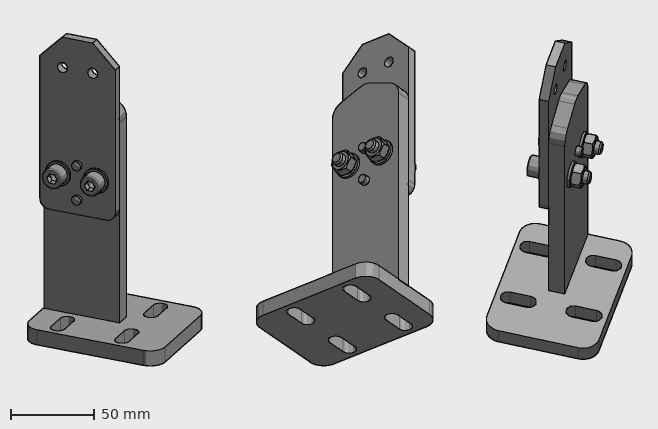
import cadquery as cq
import math

BASE_LENGTH = 90.0
BASE_WIDTH = 70.0
BASE_THICKNESS = 10.0
BASE_CORNER_RADIUS = 10.0

SLOT_WIDTH = 9.0
SLOT_LENGTH = 22.0
SLOT_X = (20.0, 62.5)
SLOT_Y_OFFSET = 20.5

POST_WIDTH = 50.0
POST_THICKNESS = 10.0
POST_LEFT = 0.5
POST_CENTER_X = POST_LEFT + POST_WIDTH / 2
POST_SHOULDER_Z = 148.7
POST_ROOF_RISE = 9.4
POST_PEAK_Z = POST_SHOULDER_Z + POST_ROOF_RISE
POST_ROUNDING = 10.0
POST_FRONT_Y = -POST_THICKNESS / 2
POST_BACK_Y = POST_THICKNESS / 2

OVERALL_HEIGHT = 194.0
CARRIER_THICKNESS = 6.0
CARRIER_HEIGHT = 115.0
CARRIER_BOTTOM_Z = OVERALL_HEIGHT - CARRIER_HEIGHT
CARRIER_TOP_CHAMFER = 15.0
CARRIER_BOTTOM_RADIUS = 6.0
CARRIER_FRONT_Y = POST_FRONT_Y - CARRIER_THICKNESS
CARRIER_HOLE_DIAMETER = 6.5
CARRIER_HOLE_SPACING = 20.0
CARRIER_HOLE_TOP_DISTANCE = 20.0
CARRIER_HOLE_Z = OVERALL_HEIGHT - CARRIER_HOLE_TOP_DISTANCE

SCREW_DIAMETER = 8.0
SCREW_LENGTH = 30.0
SCREW_END_CHAMFER = 1.0
SCREW_SPACING = 25.0
SCREW_ABOVE_CARRIER_BOTTOM = 25.0
SCREW_Z = CARRIER_BOTTOM_Z + SCREW_ABOVE_CARRIER_BOTTOM
SCREW_X = (POST_CENTER_X - SCREW_SPACING / 2, POST_CENTER_X + SCREW_SPACING / 2)
HEAD_DIAMETER = 13.0
HEAD_HEIGHT = 8.0
HEAD_ROUNDING = 0.8
SOCKET_ACROSS_FLATS = 6.0
SOCKET_DEPTH = 4.0
SOCKET_CONE_ANGLE = 120.0
WASHER_DIAMETER = 16.0
WASHER_THICKNESS = 1.6
NUT_ACROSS_FLATS = 13.0
NUT_HEIGHT = 6.8
NUT_FACE_DIAMETER = 12.0
NUT_CHAMFER_ANGLE = 30.0
HEAD_SEAT_Y = CARRIER_FRONT_Y - WASHER_THICKNESS
NUT_SEAT_Y = POST_BACK_Y + WASHER_THICKNESS

PIN_DIAMETER = 6.0
PIN_LENGTH = 22.0
PIN_PROTRUSION = 2.4
PIN_FRONT_Y = CARRIER_FRONT_Y - PIN_PROTRUSION
PIN_CHAMFER_LENGTH = 1.1
PIN_CHAMFER_DEPTH = 0.3
PIN_DOME_HEIGHT = 0.4
PIN_Z = (89.0, 111.5)


def hexagon_corners(across_flats):
    return across_flats / math.cos(math.pi / 6)


def cylinder_along_y(x, z, diameter, start_y, length):
    """Round bar whose axis points to +Y."""
    start = cq.Vector(x, start_y, z)
    return cq.Workplane(cq.Solid.makeCylinder(diameter / 2, length, start, cq.Vector(0, 1, 0)))


def hexagon_along_y(x, z, across_flats, start_y, length):
    """Hexagonal bar along +Y with corners pointing to -X and +X."""
    plane = cq.Plane(origin=(x, start_y, z), xDir=(-1, 0, 0), normal=(0, 1, 0))
    return cq.Workplane(plane).polygon(6, hexagon_corners(across_flats)).extrude(length)


def revolve_along_y(x, z, profile):
    """Turn a closed (radius, y) profile sketch about the Y-parallel axis through x, z."""
    return profile.revolve(360, (0, 0), (0, 1)).translate((x, 0, z))


def make_base():
    base = (
        cq.Workplane("XY")
        .box(BASE_LENGTH, BASE_WIDTH, BASE_THICKNESS, centered=(False, True, False))
        .edges("|Z")
        .fillet(BASE_CORNER_RADIUS)
    )
    slot_centers = [(x, side * SLOT_Y_OFFSET) for x in SLOT_X for side in (-1, 1)]
    slots = (
        cq.Workplane("XY")
        .pushPoints(slot_centers)
        .slot2D(SLOT_LENGTH, SLOT_WIDTH, 90)
        .extrude(BASE_THICKNESS)
    )
    return base.cut(slots)


def make_post():
    right = POST_LEFT + POST_WIDTH
    outline = [
        (POST_LEFT, BASE_THICKNESS),
        (right, BASE_THICKNESS),
        (right, POST_SHOULDER_Z),
        (POST_CENTER_X, POST_PEAK_Z),
        (POST_LEFT, POST_SHOULDER_Z),
    ]
    return (
        cq.Workplane("XZ")
        .polyline(outline)
        .close()
        .extrude(POST_THICKNESS / 2, both=True)
        .edges("|Y and (not <Z)")
        .fillet(POST_ROUNDING)
    )


def make_bracket():
    """Base and post as one piece, with holes that fit the screws and pins."""
    bracket = make_base().union(make_post())
    for x in SCREW_X:
        bracket = bracket.cut(cylinder_along_y(x, SCREW_Z, SCREW_DIAMETER, POST_FRONT_Y, POST_THICKNESS))
    for z in PIN_Z:
        bracket = bracket.cut(cylinder_along_y(POST_CENTER_X, z, PIN_DIAMETER, POST_FRONT_Y, POST_THICKNESS))
    return bracket


def make_plate():
    plate = (
        cq.Workplane("XY")
        .box(POST_WIDTH, CARRIER_THICKNESS, CARRIER_HEIGHT, centered=False)
        .translate((POST_LEFT, CARRIER_FRONT_Y, CARRIER_BOTTOM_Z))
        .edges("|Y and >Z")
        .chamfer(CARRIER_TOP_CHAMFER)
        .edges("|Y and <Z")
        .fillet(CARRIER_BOTTOM_RADIUS)
    )
    for side in (-1, 1):
        x = POST_CENTER_X + side * CARRIER_HOLE_SPACING / 2
        hole = cylinder_along_y(x, CARRIER_HOLE_Z, CARRIER_HOLE_DIAMETER, CARRIER_FRONT_Y, CARRIER_THICKNESS)
        plate = plate.cut(hole)
    return plate


def make_socket(x):
    """Hexagon recess in a screw head that runs out into a drill-point cone."""
    head_top_y = HEAD_SEAT_Y - HEAD_HEIGHT
    cone_start_y = head_top_y + SOCKET_DEPTH
    corner_radius = hexagon_corners(SOCKET_ACROSS_FLATS) / 2
    cone_height = corner_radius / math.tan(math.radians(SOCKET_CONE_ANGLE / 2))
    envelope = cq.Workplane("XY").polyline([
        (0, head_top_y),
        (corner_radius, head_top_y),
        (corner_radius, cone_start_y),
        (0, cone_start_y + cone_height),
    ])
    hexagon = hexagon_along_y(x, SCREW_Z, SOCKET_ACROSS_FLATS, head_top_y, SOCKET_DEPTH + cone_height)
    return hexagon.intersect(revolve_along_y(x, SCREW_Z, envelope.close()))


def make_nut(x):
    """Hexagon nut with its corners turned off at both ends."""
    face_radius = NUT_FACE_DIAMETER / 2
    corner_radius = hexagon_corners(NUT_ACROSS_FLATS) / 2
    chamfer = (corner_radius - face_radius) * math.tan(math.radians(NUT_CHAMFER_ANGLE))
    end_y = NUT_SEAT_Y + NUT_HEIGHT
    envelope = cq.Workplane("XY").polyline([
        (0, NUT_SEAT_Y),
        (face_radius, NUT_SEAT_Y),
        (corner_radius, NUT_SEAT_Y + chamfer),
        (corner_radius, end_y - chamfer),
        (face_radius, end_y),
        (0, end_y),
    ])
    blank = hexagon_along_y(x, SCREW_Z, NUT_ACROSS_FLATS, NUT_SEAT_Y, NUT_HEIGHT)
    return blank.intersect(revolve_along_y(x, SCREW_Z, envelope.close()))


def make_screw_set(x):
    """Screw, two washers and nut as one clamped stack."""
    head = (
        cylinder_along_y(x, SCREW_Z, HEAD_DIAMETER, HEAD_SEAT_Y - HEAD_HEIGHT, HEAD_HEIGHT)
        .edges("<Y")
        .fillet(HEAD_ROUNDING)
    )
    shank = (
        cylinder_along_y(x, SCREW_Z, SCREW_DIAMETER, HEAD_SEAT_Y, SCREW_LENGTH)
        .edges(">Y")
        .chamfer(SCREW_END_CHAMFER)
    )
    front_washer = cylinder_along_y(x, SCREW_Z, WASHER_DIAMETER, HEAD_SEAT_Y, WASHER_THICKNESS)
    back_washer = cylinder_along_y(x, SCREW_Z, WASHER_DIAMETER, POST_BACK_Y, WASHER_THICKNESS)
    stack = head.cut(make_socket(x)).union(shank)
    return stack.union(front_washer).union(back_washer).union(make_nut(x))


def make_pin(z):
    """Dowel pin with a domed front end and a slightly tapered back end."""
    radius = PIN_DIAMETER / 2
    bar = (
        cylinder_along_y(POST_CENTER_X, z, PIN_DIAMETER, PIN_FRONT_Y, PIN_LENGTH)
        .faces(">Y")
        .chamfer(PIN_CHAMFER_LENGTH, PIN_CHAMFER_DEPTH)
    )
    dome_radius = (radius**2 + PIN_DOME_HEIGHT**2) / (2 * PIN_DOME_HEIGHT)
    dome_center = (POST_CENTER_X, PIN_FRONT_Y + dome_radius, z)
    dome_ball = cq.Workplane("XY").sphere(dome_radius).translate(dome_center)
    return bar.intersect(dome_ball)


def make_carrier():
    """Carrier plate as one piece with its screw sets and dowel pins."""
    carrier = make_plate()
    for x in SCREW_X:
        carrier = carrier.union(make_screw_set(x))
    for z in PIN_Z:
        carrier = carrier.union(make_pin(z))
    return carrier


bracket = make_bracket()
carrier = make_carrier()

result = cq.Compound.makeCompound([bracket.val(), carrier.val()])